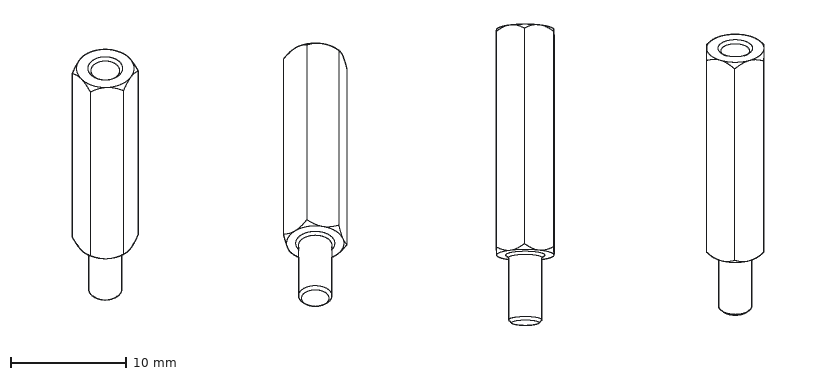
import cadquery as cq
import math

total_length = 26.0
hex_length = 20.0
across_flats = 5.0
across_corners = across_flats / math.cos(math.pi / 6)
stud_length = total_length - hex_length

crown_diameter = across_flats
crown_height = 0.45

stud_diameter = 2.9
stud_chamfer = 0.25
collar_diameter = 3.4
collar_height = 0.23

bore_diameter = 2.5
bore_depth = 10.0
mouth_diameter = 3.02


def make_hex_body():
    """Hexagonal prism trimmed by a turned envelope that bevels its corners."""
    prism = (
        cq.Workplane("XY")
        .workplane(offset=stud_length)
        .polygon(6, across_corners)
        .extrude(hex_length)
    )
    crown_radius = crown_diameter / 2
    outer_radius = across_corners / 2
    envelope = (
        cq.Workplane("XZ")
        .moveTo(0, stud_length)
        .lineTo(crown_radius, stud_length)
        .lineTo(outer_radius, stud_length + crown_height)
        .lineTo(outer_radius, total_length - crown_height)
        .lineTo(crown_radius, total_length)
        .lineTo(0, total_length)
        .close()
        .revolve(360, (0, 0, 0), (0, 1, 0))
    )
    return prism.intersect(envelope)


def make_stud():
    """Turned stud, widening through the collar where it meets the hexagon."""
    radius = stud_diameter / 2
    return (
        cq.Workplane("XZ")
        .lineTo(radius - stud_chamfer, 0)
        .lineTo(radius, stud_chamfer)
        .lineTo(radius, stud_length - collar_height)
        .lineTo(collar_diameter / 2, stud_length)
        .lineTo(0, stud_length)
        .close()
        .revolve(360, (0, 0, 0), (0, 1, 0))
    )


def make_bore():
    """Flat-bottomed blind bore with a 45 degree countersink at the top."""
    bore_radius = bore_diameter / 2
    mouth_radius = mouth_diameter / 2
    bore_bottom = total_length - bore_depth
    countersink_depth = mouth_radius - bore_radius
    return (
        cq.Workplane("XZ")
        .moveTo(0, bore_bottom)
        .lineTo(bore_radius, bore_bottom)
        .lineTo(bore_radius, total_length - countersink_depth)
        .lineTo(mouth_radius, total_length)
        .lineTo(0, total_length)
        .close()
        .revolve(360, (0, 0, 0), (0, 1, 0))
    )


result = make_hex_body().union(make_stud()).cut(make_bore())